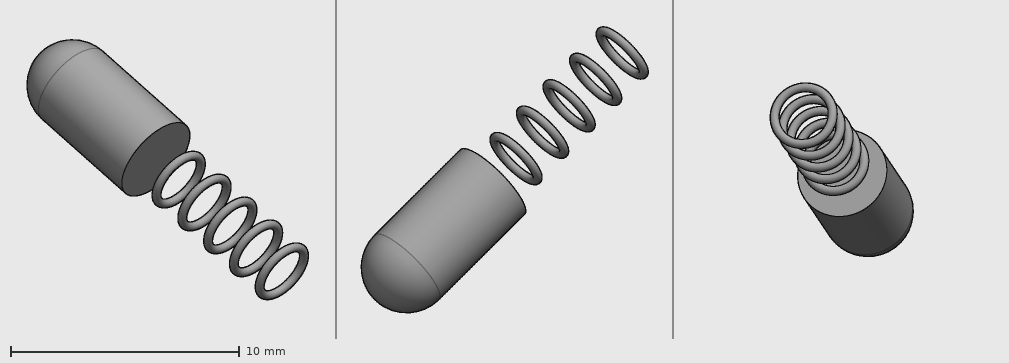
import cadquery as cq

plunger_diameter = 4.0
plunger_length = 7.5
plunger_radius = plunger_diameter / 2

coil_count = 5
coil_outer_diameter = 3.0
wire_diameter = 0.4
coil_pitch = 1.7
first_coil_x = 9.0
wire_radius = wire_diameter / 2
coil_mean_radius = coil_outer_diameter / 2 - wire_radius


def make_plunger():
    """Revolve the half profile of the pin around X, with the nose tip at the origin."""
    quarter_arc_offset = plunger_radius * 0.5**0.5
    nose_arc_middle = (plunger_radius - quarter_arc_offset, quarter_arc_offset)
    return (
        cq.Workplane("XY")
        .threePointArc(nose_arc_middle, (plunger_radius, plunger_radius))
        .lineTo(plunger_length, plunger_radius)
        .lineTo(plunger_length, 0)
        .close()
        .revolve(360, (0, 0, 0), (1, 0, 0))
    )


def make_coil(center_x):
    """Revolve the wire's round section around X to form one ring."""
    return (
        cq.Workplane("XY")
        .center(center_x, coil_mean_radius)
        .circle(wire_radius)
        .revolve(360, (0, -coil_mean_radius, 0), (1, -coil_mean_radius, 0))
    )


plunger = make_plunger()
coils = [make_coil(first_coil_x + index * coil_pitch) for index in range(coil_count)]

result = cq.Compound.makeCompound([plunger.val(), *[coil.val() for coil in coils]])